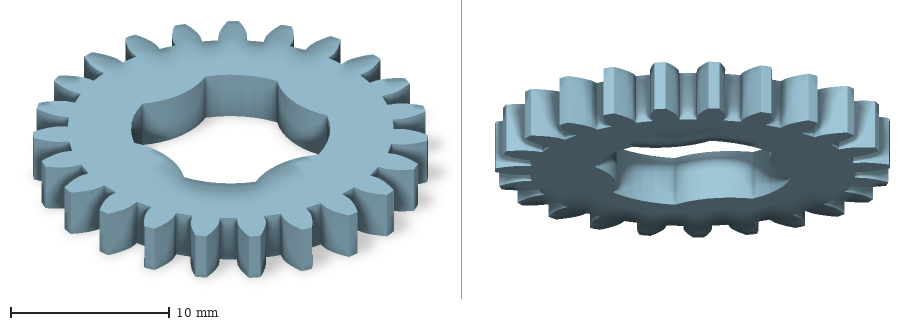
import cadquery as cq
import math

overall_y = 24.98
thickness = 3.12
tooth_count = 23
pressure_angle = math.radians(20)
addendum_factor = 1.0
dedendum_factor = 1.2
bore_radius = 6.3
lobe_reach = 5.1
lobe_radius = 5.15
lobe_count = 4
flank_steps = 6


def involute(angle):
    """Involute function of a pressure angle."""
    return math.tan(angle) - angle


tip_module_count = tooth_count + 2 * addendum_factor
tooth_pitch = 2 * math.pi / tooth_count
tip_pressure_angle = math.acos(tooth_count * math.cos(pressure_angle) / tip_module_count)
base_half_angle = tooth_pitch / 4 + involute(pressure_angle)
tip_half_angle = base_half_angle - involute(tip_pressure_angle)

top_tooth_angle = round(tooth_count / 4) * tooth_pitch
top_corner_angle = top_tooth_angle - tip_half_angle

tip_radius = overall_y / 2 / math.sin(top_corner_angle)
module = 2 * tip_radius / tip_module_count
pitch_radius = module * tooth_count / 2
base_radius = pitch_radius * math.cos(pressure_angle)
root_radius = pitch_radius - dedendum_factor * module


def polar(radius, angle):
    return (radius * math.cos(angle), radius * math.sin(angle))


def flank_points(center_angle, side):
    """Involute points from the base circle to the tip; side is -1 or +1."""
    points = []
    for step in range(flank_steps + 1):
        roll = math.tan(tip_pressure_angle) * step / flank_steps
        local_pressure_angle = math.atan(roll)
        radius = base_radius / math.cos(local_pressure_angle)
        half_angle = base_half_angle - involute(local_pressure_angle)
        points.append(polar(radius, center_angle + side * half_angle))
    return points


def gear_blank():
    """Solid spur gear whose flanks run radially from the root to the base circle."""
    outline = cq.Workplane("XY").moveTo(*polar(root_radius, -base_half_angle))
    for tooth in range(tooth_count):
        center = tooth * tooth_pitch
        rising = flank_points(center, -1)
        falling = flank_points(center, 1)[::-1]
        next_root = center + tooth_pitch - base_half_angle
        outline = (
            outline.lineTo(*rising[0])
            .spline(rising[1:], includeCurrent=True)
            .threePointArc(polar(tip_radius, center), falling[0])
            .spline(falling[1:], includeCurrent=True)
            .lineTo(*polar(root_radius, center + base_half_angle))
            .threePointArc(polar(root_radius, center + tooth_pitch / 2), polar(root_radius, next_root))
        )
    return outline.close().extrude(thickness)


def bore():
    """Round bore with convex lobes left standing along the X and Y axes."""
    lobes = (
        cq.Workplane("XY")
        .polarArray(lobe_reach + lobe_radius, 0, 360, lobe_count)
        .circle(lobe_radius)
        .extrude(thickness)
    )
    return cq.Workplane("XY").circle(bore_radius).extrude(thickness).cut(lobes)


result = gear_blank().cut(bore())